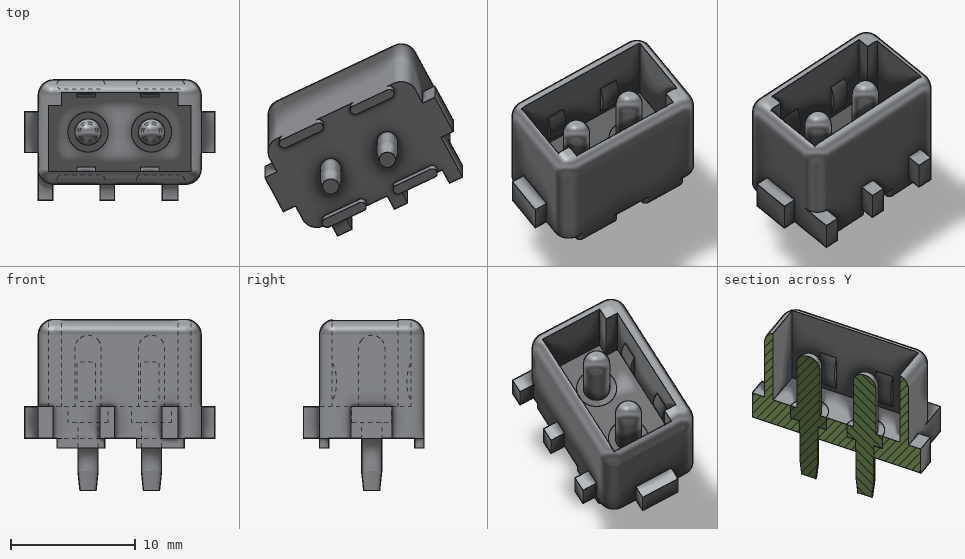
import cadquery as cq

housing_x = 13.06
housing_y = 8.38
housing_top = 9.53
edge_radius = 1.27

cavity_x = 11.42
cavity_y = 6.32
floor_z = 2.54

key_x = 1.05
key_y = 1.04

tab_height = 2.54
tab_span_x = 15.24
tab_y = 3.28
leg_reach = 1.27
leg_width = 1.18
wide_leg_width = 1.28
middle_leg_x = -1.0
right_leg_x = 4.04

foot_length = 3.84
foot_width = 0.76
foot_height = 0.79
foot_pitch = 6.36
foot_row_x = 0.07

pin_pitch = 5.08
post_radius = 1.055
post_ball_z = 7.2
flange_radius = 1.6
flange_thickness = floor_z / 2
tail_radius = 0.815
tail_taper_z = -2.64
tail_tip_radius = 0.65
tail_end_z = -4.19

bump_width = 1.49
bump_depth = 0.355
bump_mid_z = 4.53
bump_half_height = 1.58
bump_row_x = -0.127

front_y = -housing_y / 2
back_y = housing_y / 2
left_x = -housing_x / 2
pin_places = [(-pin_pitch / 2, 0), (pin_pitch / 2, 0)]


def block(x_min, x_max, y_min, y_max, z_min, z_max):
    """Box given by its limits."""
    size = (x_max - x_min, y_max - y_min, z_max - z_min)
    return cq.Workplane("XY").box(*size, centered=False).translate((x_min, y_min, z_min))


def make_pin(place):
    flange_bottom = floor_z - flange_thickness
    tip_z = post_ball_z + post_radius
    profile = (
        cq.Workplane("XZ")
        .moveTo(0, tail_end_z)
        .lineTo(tail_tip_radius, tail_end_z)
        .lineTo(tail_radius, tail_taper_z)
        .lineTo(tail_radius, flange_bottom)
        .lineTo(flange_radius, flange_bottom)
        .lineTo(flange_radius, floor_z)
        .lineTo(post_radius, floor_z)
        .lineTo(post_radius, post_ball_z)
        .radiusArc((0, tip_z), -post_radius)
        .close()
    )
    return profile.revolve(360, (0, 0, 0), (0, 1, 0)).translate((*place, 0))


def make_shell():
    shell = cq.Workplane("XY").box(housing_x, housing_y, housing_top, centered=(True, True, False))
    return shell.edges("|Z").fillet(edge_radius).faces(">Z").edges().fillet(edge_radius)


def make_cavity():
    """Rectangular opening, less the keys left standing in its two +Y corners."""
    half_x = cavity_x / 2
    half_y = cavity_y / 2
    cavity = block(-half_x, half_x, -half_y, half_y, floor_z, housing_top)
    for x_min in (-half_x, half_x - key_x):
        cavity = cavity.cut(block(x_min, x_min + key_x, half_y - key_y, half_y, floor_z, housing_top))
    return cavity


def make_end_tabs():
    """Tab on each end wall, made as one bar across the housing."""
    return cq.Workplane("XY").box(tab_span_x, tab_y, tab_height, centered=(True, True, False))


def make_front_legs():
    """Three legs on the front wall, and the squared-off corner beside the left one."""
    corner_x = left_x + edge_radius
    corner_y = front_y + edge_radius
    legs = block(left_x, corner_x, front_y, corner_y, 0, tab_height)
    for centre_x, width in (
        (left_x + leg_width / 2, leg_width),
        (middle_leg_x, leg_width),
        (right_leg_x, wide_leg_width),
    ):
        leg_start = centre_x - width / 2
        leg_end = centre_x + width / 2
        legs = legs.add(block(leg_start, leg_end, front_y - leg_reach, corner_y, 0, tab_height))
    return legs.combine()


def make_feet():
    """Round-ended standoff feet, flush with the front and back walls."""
    foot_y = back_y - foot_width / 2
    return (
        cq.Workplane("XY")
        .center(foot_row_x, 0)
        .rarray(foot_pitch, 2 * foot_y, 2, 2)
        .slot2D(foot_length, foot_width)
        .extrude(-foot_height)
    )


def make_housing():
    housing = make_shell().union(make_end_tabs()).union(make_front_legs())
    housing = housing.cut(make_cavity()).union(make_feet())
    for place in pin_places:
        housing = housing.cut(make_pin(place))
    return housing


def make_bump(centre_x, side):
    """Bump bulging inward; side is +1 for the back wall and -1 for the front wall."""
    wall_y = side * cavity_y / 2
    crest_y = wall_y - side * bump_depth
    return (
        cq.Workplane("YZ", origin=(centre_x, 0, 0))
        .moveTo(wall_y, bump_mid_z - bump_half_height)
        .threePointArc((crest_y, bump_mid_z), (wall_y, bump_mid_z + bump_half_height))
        .close()
        .extrude(bump_width)
        .translate((-bump_width / 2, 0, 0))
    )


housing = make_housing()
pins = [make_pin(place) for place in pin_places]
bumps = [make_bump(bump_row_x + pin_x, side) for pin_x, _ in pin_places for side in (1, -1)]

result = cq.Compound.makeCompound([body.solids().val() for body in [housing, *pins, *bumps]])